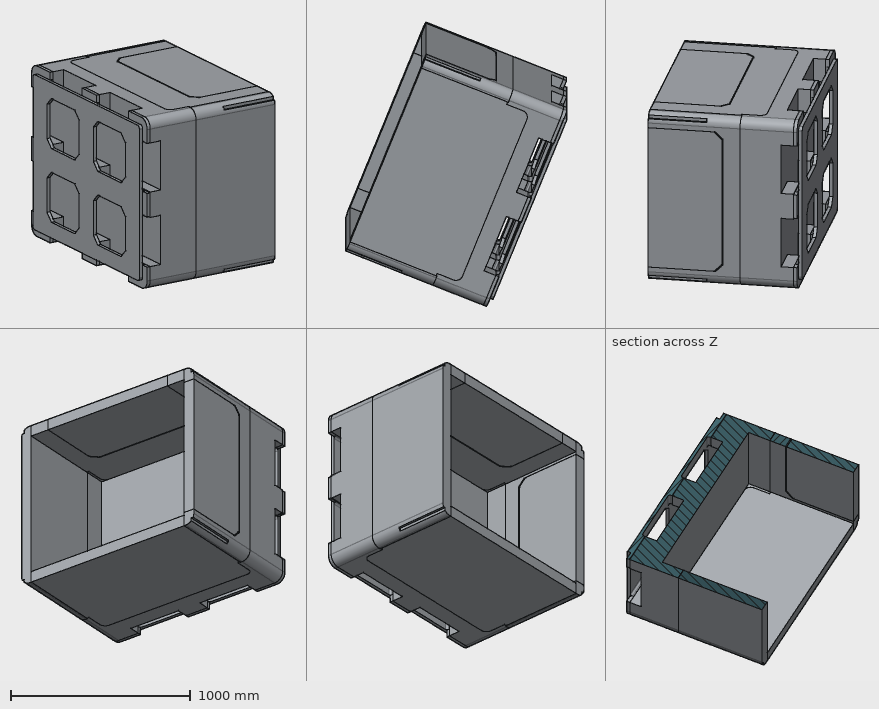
import cadquery as cq
LENGTH = 1200.0
WIDTH = 1000.0
HEIGHT = 864.0
RIM_Y = HEIGHT / 2
GROUND_Y = -HEIGHT / 2
CORNER_RADIUS = 56.0
WALL = 67.0

PLATE_TOP_Y = -412.0
PAD_TOP_Y = -391.0
FORK_CEILING_Y = -322.0
DECK_Y = -221.0
BASE_RIM_Y = -89.0
SHOULDER_Y = -84.0

FOOT_HALF = 75.0
PAD_HALF_Z = 70.0
FORK_OUTER_X = 407.0
FORK_OUTER_Z = 362.0

PLATE_LENGTH = 1104.0
PLATE_WIDTH = 910.0
PLATE_RADIUS = 19.0
PLATE_HOLE_CHAMFER = 45.0
PAD_FILLET = 12.0

TONGUE_STEP = 15.0
TONGUE_RADIUS = 38.0

DOOR_HALF = 415.0
DOORWAY_SILL_Y = 8.0
DOORWAY_CHAMFER = 41.0
DOOR_CHAMFER = 45.0
SILL_GAP = 5.0

NOTCH_X = 18.0
NOTCH_Z = 34.0
NOTCH_END_Y = 102.0

SIDES = (-1, 1)
INNER_LENGTH = LENGTH - 2 * WALL
INNER_WIDTH = WIDTH - 2 * WALL


def block(x_range, y_range, z_range):
    """Box between the given limits along X, Y and Z."""
    spans = [(min(r), max(r)) for r in (x_range, y_range, z_range)]
    sizes = [high - low for low, high in spans]
    corner = tuple(low for low, high in spans)
    return cq.Workplane("XY").box(*sizes, centered=False).translate(corner)


def rounded_block(length, width, radius, bottom_y, top_y):
    """Upright block centred on the Y axis, with its four Y edges rounded."""
    body = block((-length / 2, length / 2), (bottom_y, top_y), (-width / 2, width / 2))
    return body.edges("|Y").fillet(radius)


def cut_fork_channels(body, bottom_y, top_y, half_x, half_z):
    """Cut two channels along Z and two along X, which leaves nine feet."""
    for side in SIDES:
        along_z = block((side * half_x, side * FORK_OUTER_X), (bottom_y, top_y), (-WIDTH, WIDTH))
        along_x = block((-LENGTH, LENGTH), (bottom_y, top_y), (side * half_z, side * FORK_OUTER_Z))
        body = body.cut(along_z).cut(along_x)
    return body


def wall_tongue():
    """Lower part of the side walls, through the whole width, with two rounded lower corners."""
    half = INNER_LENGTH / 2 - TONGUE_STEP
    tongue = block((-half, half), (DECK_Y, SHOULDER_Y), (-WIDTH / 2, WIDTH / 2))
    return tongue.edges("|Z and <Y").fillet(TONGUE_RADIUS)


def pad_fillets():
    """The pads again, with feet that flare onto the plate, trimmed to the plate's outline."""
    pads = rounded_block(PLATE_LENGTH, PLATE_WIDTH, PLATE_RADIUS, PLATE_TOP_Y, PAD_TOP_Y)
    for side in SIDES:
        along_z = block((side * FOOT_HALF, side * FORK_OUTER_X), (PLATE_TOP_Y, RIM_Y), (-WIDTH, WIDTH))
        along_x = block((-LENGTH, LENGTH), (PLATE_TOP_Y, RIM_Y), (side * PAD_HALF_Z, side * FORK_OUTER_Z))
        pads = pads.cut(along_z.edges("|Z and <Y").fillet(PAD_FILLET))
        pads = pads.cut(along_x.edges("|X and <Y").fillet(PAD_FILLET))
    return pads


def make_skid():
    """Nine flat pads on a plate that has an eight-sided hole under each channel crossing."""
    pads = rounded_block(LENGTH, WIDTH, CORNER_RADIUS, PLATE_TOP_Y, PAD_TOP_Y)
    pads = cut_fork_channels(pads, PLATE_TOP_Y, PAD_TOP_Y, FOOT_HALF, PAD_HALF_Z)
    plate = rounded_block(PLATE_LENGTH, PLATE_WIDTH, PLATE_RADIUS, GROUND_Y, PLATE_TOP_Y)
    skid = plate.union(pads).union(pad_fillets())
    for side_x in SIDES:
        for side_z in SIDES:
            hole = block(
                (side_x * FOOT_HALF, side_x * FORK_OUTER_X),
                (GROUND_Y, PLATE_TOP_Y),
                (side_z * PAD_HALF_Z, side_z * FORK_OUTER_Z),
            )
            skid = skid.cut(hole.edges("|Y").chamfer(PLATE_HOLE_CHAMFER))
    return skid


def make_base():
    """Pallet base: nine feet, a deck, and a rim notched for the side wall tongues."""
    base = rounded_block(LENGTH, WIDTH, CORNER_RADIUS, PAD_TOP_Y, BASE_RIM_Y)
    shoulders = block(
        (-INNER_LENGTH / 2, INNER_LENGTH / 2),
        (BASE_RIM_Y, SHOULDER_Y),
        (-WIDTH / 2, WIDTH / 2),
    )
    hollow = block(
        (-INNER_LENGTH / 2, INNER_LENGTH / 2),
        (DECK_Y, SHOULDER_Y),
        (-INNER_WIDTH / 2, INNER_WIDTH / 2),
    )
    base = base.union(shoulders).cut(hollow).cut(wall_tongue())
    return cut_fork_channels(base, PAD_TOP_Y, FORK_CEILING_Y, FOOT_HALF, FOOT_HALF)


def make_end_wall(side):
    """Wall on the X side, with both rounded corners of the box and a notch along each."""
    shell = rounded_block(LENGTH, WIDTH, CORNER_RADIUS, BASE_RIM_Y, RIM_Y)
    slab = block((side * INNER_LENGTH / 2, side * LENGTH / 2), (BASE_RIM_Y, RIM_Y), (-WIDTH, WIDTH))
    wall = shell.intersect(slab)
    for side_z in SIDES:
        notch = block(
            (side * (LENGTH / 2 - NOTCH_X), side * LENGTH / 2),
            (NOTCH_END_Y, RIM_Y),
            (side_z * (WIDTH / 2 - NOTCH_Z), side_z * WIDTH / 2),
        )
        wall = wall.cut(notch)
    return wall


def make_side_wall(side):
    """Wall on the Z side, between the end walls, with a tongue reaching down to the deck."""
    upper = block(
        (-INNER_LENGTH / 2, INNER_LENGTH / 2),
        (SHOULDER_Y, RIM_Y),
        (side * INNER_WIDTH / 2, side * WIDTH / 2),
    )
    slab = block((-LENGTH, LENGTH), (DECK_Y, SHOULDER_Y), (side * INNER_WIDTH / 2, side * WIDTH / 2))
    return upper.union(wall_tongue().intersect(slab))


def door_panel(sill_y, chamfer):
    """Panel for the +Z side wall, with its two lower corners cut off."""
    panel = block((-DOOR_HALF, DOOR_HALF), (sill_y, RIM_Y), (INNER_WIDTH / 2, WIDTH / 2))
    return panel.edges("|Z and <Y").chamfer(chamfer)


def on_end_wall(panel):
    """Turn a panel from the +Z side wall to the -X end wall."""
    shift = (WIDTH - LENGTH) / 2
    return panel.rotate((0, 0, 0), (0, 1, 0), -90).translate((shift, 0, 0))


doorway = door_panel(DOORWAY_SILL_Y, DOORWAY_CHAMFER)
side_door = door_panel(DOORWAY_SILL_Y + SILL_GAP, DOOR_CHAMFER)
end_door = on_end_wall(side_door)

skid = make_skid()
base = make_base()
door_side_wall = make_side_wall(1).cut(doorway)
plain_side_wall = make_side_wall(-1)
door_end_wall = make_end_wall(-1).cut(on_end_wall(doorway))
plain_end_wall = make_end_wall(1)

result = cq.Compound.makeCompound(
    [
        skid.val(),
        base.val(),
        door_side_wall.val(),
        plain_side_wall.val(),
        door_end_wall.val(),
        plain_end_wall.val(),
        side_door.val(),
        end_door.val(),
    ]
)